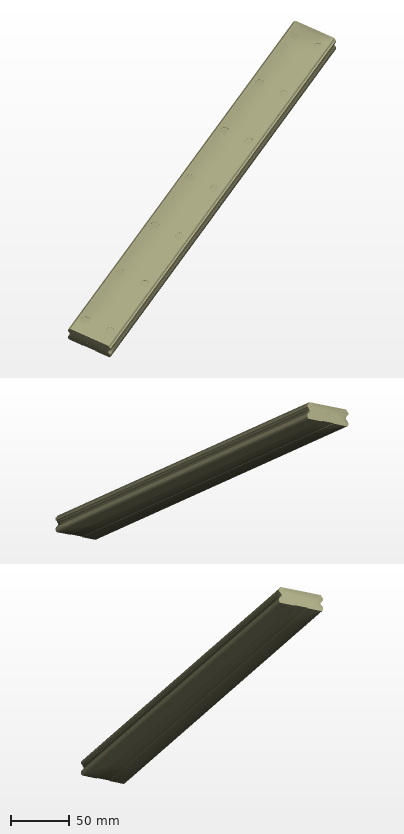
import cadquery as cq
import math

width = 42.0
length = 390.0
height = 15.0
bottom_chamfer = 1.15

track_radius = 1.4
lip_top_z = 12.8
lip_bottom_z = 10.5

top_inset = 2.0

groove_depth = 2.4
groove_floor_bottom_z = 6.4
foot_chamfer_width = 0.4
foot_chamfer_height = 1.0

relief_width = 12.0
relief_depth = 0.5

hole_diameter = 7.5
hole_depth = 0.2
row_spacing = 24.0
hole_pitch = 60.0
holes_per_row = 7

end_hole_diameter = 4.0
end_hole_depth = 0.2
end_hole_z = height / 2


def make_half_body():
    """Extrude the +X half of the cross-section, centered along Y."""
    side = width / 2
    track_x = side - track_radius
    floor_x = side - groove_depth
    slant_top_z = lip_bottom_z - track_radius
    foot_x = side - foot_chamfer_width
    foot_z = groove_floor_bottom_z - (foot_x - floor_x)
    diagonal = track_radius * math.sqrt(0.5)
    upper_track_z = lip_top_z + track_radius
    section = (
        cq.Workplane("XZ")
        .moveTo(0, relief_depth)
        .lineTo(relief_width / 2, relief_depth)
        .lineTo(relief_width / 2, 0)
        .lineTo(side - bottom_chamfer, 0)
        .lineTo(side, bottom_chamfer)
        .lineTo(side, foot_z - foot_chamfer_height)
        .lineTo(foot_x, foot_z)
        .lineTo(floor_x, groove_floor_bottom_z)
        .lineTo(floor_x, slant_top_z - (track_x - floor_x))
        .lineTo(track_x, slant_top_z)
        .threePointArc((side - diagonal, slant_top_z + diagonal), (side, lip_bottom_z))
        .lineTo(side, lip_top_z)
        .threePointArc((side - diagonal, upper_track_z - diagonal), (track_x, upper_track_z))
        .lineTo(side - top_inset, height)
        .lineTo(0, height)
        .close()
    )
    return section.extrude(length / 2, both=True)


def make_body():
    """Join the half body with its mirror image across X = 0."""
    half = make_half_body()
    return half.union(half.mirror("YZ")).clean()


def make_mounting_holes():
    """Flat-bottomed cylinders sunk from the top face."""
    return (
        cq.Workplane("XY", origin=(0, 0, height))
        .rarray(row_spacing, hole_pitch, 2, holes_per_row)
        .circle(hole_diameter / 2)
        .extrude(-hole_depth)
    )


def make_end_hole():
    """Cylinder running inward (+Y) from the -Y end face."""
    return (
        cq.Workplane("XZ", origin=(0, -length / 2, end_hole_z))
        .circle(end_hole_diameter / 2)
        .extrude(-end_hole_depth)
    )


result = make_body().cut(make_mounting_holes()).cut(make_end_hole())